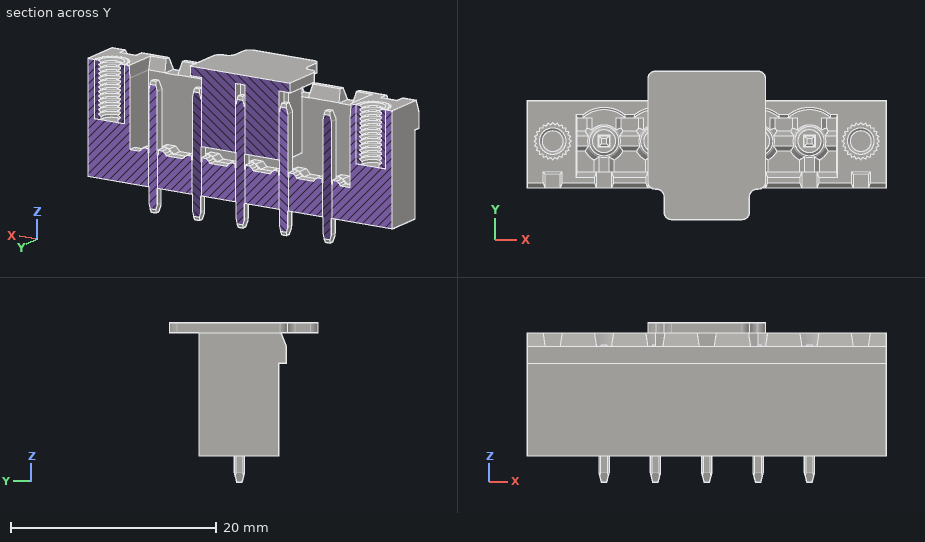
import cadquery as cq
import math


pin_count = 5
pitch = 5.0
pin_xs = [(i - (pin_count - 1) / 2) * pitch for i in range(pin_count)]
insert_x = (pin_count + 1) / 2 * pitch
insert_xs = [-insert_x, insert_x]

housing_length = 35.0
housing_height = 12.0
rear_y = 3.95
front_y = -3.85
lip_y = -4.6
lip_height = 2.98
bevel_height = 1.3
bevel_depth = 0.52

cavity_half_length = 12.65
cavity_rear_y = 2.28
cavity_front_y = -3.0
cavity_depth = 8.5
lead_in_height = 1.25
side_flare = 0.1
rear_flare = 0.3
front_flare = 0.52
lobe_radius = 3.08
lobe_flare = 0.2

floor_step = 0.5
rib_half_width = 0.5
rear_rib_half_width = 1.15
boss_base_radius = 3.2 / 2
boss_rim_radius = 1.45
boss_top_radius = 1.12
boss_step = 0.2
boss_recess_width = 1.15

notch_top_width = 1.85
notch_bottom_width = 1.47
notch_rear_draft = 0.2

pin_width = 1.0
tip_width = 0.52
tip_length = 0.95
pin_top_drop = 1.2
tail_length = 2.55
tail_corner = 0.18

insert_length = 6.0
insert_root_radius = 3.2 / 2
insert_tip_radius = 1.82
tooth_count = 24
thread_root_radius = 1.3
thread_crest_radius = 1.0
thread_pitch = 0.45
thread_turns = 13

plate_thickness = 1.0
plate_half_width = 5.75
plate_rear_y = 6.82
shoulder_y = -4.7
tab_half_width = 4.15
tab_front_y = -7.65
plate_radius = 0.75
block_half_length = pitch
block_rear_y = 1.5
block_depth = 7.0

low_floor_z = housing_height - cavity_depth - floor_step
high_floor_z = housing_height - cavity_depth
boss_top_z = high_floor_z + 2 * boss_step
mouth_z = housing_height - lead_in_height
pin_top_z = housing_height - pin_top_drop


def block_between(x0, x1, y0, y1, z0, z1):
    """Box given by its limits along each axis."""
    return cq.Workplane("XY").box(x1 - x0, y1 - y0, z1 - z0, centered=False).translate((x0, y0, z0))


def rectangle_loft(low_limits, low_z, high_limits, high_z):
    """Solid between two level rectangles, each given as (x0, x1, y0, y1)."""
    wires = []
    for (x0, x1, y0, y1), z in ((low_limits, low_z), (high_limits, high_z)):
        corners = [(x0, y0, z), (x1, y0, z), (x1, y1, z), (x0, y1, z)]
        wires.append(cq.Wire.makePolygon([cq.Vector(*c) for c in corners], close=True))
    return cq.Workplane(obj=cq.Solid.makeLoft(wires, True))


def square_limits(width):
    return (-width / 2, width / 2, -width / 2, width / 2)


def cone(base_radius, top_radius, base_z, height, x=0.0):
    return cq.Workplane(obj=cq.Solid.makeCone(base_radius, top_radius, height, cq.Vector(x, 0, base_z)))


def cylinder(radius, base_z, height, x=0.0):
    return cq.Workplane(obj=cq.Solid.makeCylinder(radius, height, cq.Vector(x, 0, base_z)))



def make_pin(x):
    """Square contact with a pyramid tip at each end and a tail with flattened corners."""
    straight_bottom_z = tip_length - tail_length
    straight_top_z = pin_top_z - tip_length
    half = pin_width / 2
    shaft = block_between(-half, half, -half, half, 0, straight_top_z)
    top_tip = rectangle_loft(square_limits(pin_width), straight_top_z, square_limits(tip_width), pin_top_z)
    tail = block_between(-half, half, -half, half, straight_bottom_z, 0)
    bottom_tip = rectangle_loft(
        square_limits(tip_width), -tail_length, square_limits(pin_width), straight_bottom_z
    )
    tail_envelope = block_between(-half, half, -half, half, -tail_length, 0)
    tail_envelope = tail_envelope.edges("|Z").chamfer(tail_corner)
    tail = tail.union(bottom_tip).intersect(tail_envelope)
    return shaft.union(top_tip).union(tail).translate((x, 0, 0))



def toothed_prism():
    """Knurled outside of an insert, also the shape of its hole in the housing."""
    points = []
    for i in range(2 * tooth_count):
        radius = insert_tip_radius if i % 2 == 0 else insert_root_radius
        angle = math.pi * i / tooth_count
        points.append((radius * math.cos(angle), radius * math.sin(angle)))
    base = cq.Workplane("XY").workplane(offset=housing_height - insert_length)
    return base.polyline(points).close().extrude(insert_length)


def make_insert(x):
    """Insert with V-shaped thread rings along its whole bore."""
    bore = [(0, housing_height)]
    for turn in range(thread_turns):
        root_z = housing_height - turn * thread_pitch
        bore.append((thread_root_radius, root_z))
        bore.append((thread_crest_radius, root_z - thread_pitch / 2))
    bore.append((thread_crest_radius, housing_height - insert_length))
    bore.append((0, housing_height - insert_length))
    bore_solid = cq.Workplane("XZ").polyline(bore).close().revolve(360, (0, 0, 0), (0, 1, 0))
    return toothed_prism().cut(bore_solid).translate((x, 0, 0))



def housing_blank():
    """Housing side profile with the bevelled front lip, run along X."""
    profile = [
        (rear_y, 0),
        (front_y, 0),
        (front_y, housing_height - lip_height),
        (lip_y, housing_height - lip_height),
        (lip_y, housing_height - bevel_height),
        (lip_y + bevel_depth, housing_height),
        (rear_y, housing_height),
    ]
    return cq.Workplane("YZ").polyline(profile).close().extrude(housing_length / 2, both=True)


def flanked_rib(plane, half_width, run):
    """Rib on the low floor whose sloping flanks widen it by the step height at its foot."""
    foot = half_width + floor_step
    section = [
        (-foot, low_floor_z),
        (foot, low_floor_z),
        (half_width, high_floor_z),
        (-half_width, high_floor_z),
    ]
    return cq.Workplane(plane).polyline(section).close().extrude(run)


def raised_floor():
    """Cross of ribs meeting in a pedestal and a stepped boss around every pin."""
    floor = flanked_rib("YZ", rib_half_width, cavity_half_length)
    floor = floor.union(floor.mirror("YZ"))
    for x in pin_xs:
        front_rib = flanked_rib("XZ", rib_half_width, -cavity_front_y).translate((x, 0, 0))
        rear_rib = flanked_rib("XZ", rear_rib_half_width, -cavity_rear_y).translate((x, 0, 0))
        pedestal = cone(boss_base_radius + floor_step, boss_base_radius, low_floor_z, floor_step, x)
        lower_boss = cone(boss_base_radius, boss_rim_radius, high_floor_z, boss_step, x)
        upper_boss = cone(boss_rim_radius, boss_top_radius, high_floor_z + boss_step, boss_step, x)
        floor = floor.union(front_rib).union(rear_rib).union(pedestal).union(lower_boss).union(upper_boss)
    return floor


def cut_cavity(body):
    """Main pocket with its lead-in, plus a round lobe behind every pin."""
    inner = (-cavity_half_length, cavity_half_length, cavity_front_y, cavity_rear_y)
    mouth_half = cavity_half_length + side_flare
    mouth = (-mouth_half, mouth_half, cavity_front_y - front_flare, cavity_rear_y + rear_flare)
    body = body.cut(block_between(*inner, low_floor_z, mouth_z))
    body = body.cut(rectangle_loft(inner, mouth_z, mouth, housing_height))
    lobe_limits = block_between(*inner[:2], 0, rear_y, high_floor_z, housing_height)
    for x in pin_xs:
        lobe = cylinder(lobe_radius, high_floor_z, mouth_z - high_floor_z, x)
        flare = cone(lobe_radius, lobe_radius + lobe_flare, mouth_z, lead_in_height, x)
        body = body.cut(lobe.union(flare).intersect(lobe_limits))
    return body.union(raised_floor())


def notch(x, rear_top_y, rear_bottom_y):
    """Cutter for a rim notch that narrows downward and opens to the front."""
    bottom = (x - notch_bottom_width / 2, x + notch_bottom_width / 2, lip_y, rear_bottom_y)
    top = (x - notch_top_width / 2, x + notch_top_width / 2, lip_y, rear_top_y)
    return rectangle_loft(bottom, housing_height - bevel_height, top, housing_height)


def boss_recess(x):
    """Cutter for the narrow square gap around a pin at the top of its boss."""
    half = boss_recess_width / 2
    return block_between(x - half, x + half, -half, half, high_floor_z, boss_top_z)


def make_housing():
    body = cut_cavity(housing_blank())
    for x in pin_xs:
        body = body.cut(notch(x, 0, 0))
        body = body.cut(make_pin(x))
        body = body.cut(boss_recess(x))
    for x in insert_xs:
        body = body.cut(notch(x, cavity_front_y, cavity_front_y - notch_rear_draft))
        body = body.cut(toothed_prism().translate((x, 0, 0)))
    return body



def make_cap():
    """T-shaped plate with rounded corners and a block with square holes for the pins under it."""
    right_side = [
        (plate_half_width, plate_rear_y),
        (plate_half_width, shoulder_y),
        (tab_half_width, shoulder_y),
        (tab_half_width, tab_front_y),
    ]
    left_side = [(-x, y) for x, y in reversed(right_side)]
    plate = cq.Workplane("XY").workplane(offset=housing_height).polyline(right_side + left_side).close()
    plate = plate.extrude(plate_thickness).edges("|Z").fillet(plate_radius)
    block = block_between(
        -block_half_length, block_half_length, cavity_front_y, block_rear_y,
        housing_height - block_depth, housing_height,
    )
    half = pin_width / 2
    for x in pin_xs[1:-1]:
        pin_hole = block_between(
            x - half, x + half, -half, half, housing_height - block_depth, housing_height
        )
        block = block.cut(pin_hole)
    return plate.union(block)


housing = make_housing()
cap = make_cap()
pins = [make_pin(x) for x in pin_xs]
inserts = [make_insert(x) for x in insert_xs]

result = cq.Compound.makeCompound(
    [housing.val(), cap.val()] + [pin.val() for pin in pins] + [insert.val() for insert in inserts]
)